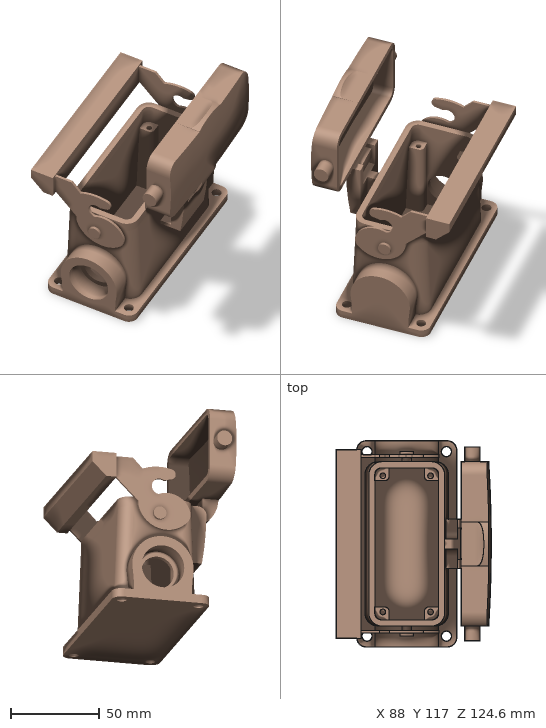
import cadquery as cq

BASE_LENGTH = 117.0
BASE_WIDTH = 56.8
BASE_HEIGHT = 5.0
BASE_CORNER = 5.5
MOUNT_X = 22.5
MOUNT_Y = 52.3
MOUNT_DIAMETER = 5.6

RIM_LENGTH = 93.2
RIM_WIDTH = 43.0
RIM_CORNER = 7.5
WALL = 3.5
FOOT_WIDTH = 47.4
RIM_BOTTOM = 58.5
HOUSING_TOP = 64.2

POST_X = 10.0
POST_Y = 35.8
POST_TOP = 52.0
POST_ROUND = 2.5
SCREW_X = 13.5
SCREW_Y = 38.6
SCREW_DIAMETER = 3.2
SCREW_DEPTH = 10.0

ENTRY_RADIUS = 18.0
ENTRY_FOOT = 34.0
ENTRY_Z = 20.0
ENTRY_BORE = 25.0
ENTRY_HOLE = 19.0

HANDLE_RIGHT = -25.9
LEVER_OUTER_Y = 50.6
LEVER_THICKNESS = 1.5
PLATE_TOP = 86.0
PLATE_TOP_RIGHT = -15.5
PLATE_ROOT = (HANDLE_RIGHT, 74.2)
FINGER_START = (-9.8, 80.0)
FINGER_CREST = (-0.5, 81.9)
FINGER_TOP = (7.5, 80.9)
FINGER_TIP = (9.6, 77.9)
FINGER_UNDERSIDE = (7.5, 75.0)
LATCH_TOP = (2.9, 74.1)
LATCH_SEAT = (-4.4, 70.2)
LATCH_BOTTOM = (-0.5, 65.6)
LOBE_CREST = (5.2, 66.7)
LOBE_SHOULDER = (17.6, 58.0)
LOBE_NOSE = (18.2, 53.5)
LOBE_HEEL = (15.7, 49.3)
LOBE_BOTTOM = (5.4, 44.7)
LOBE_LEFT = (-12.3, 58.5)
ARM_CORNER = (-12.3, 60.6)

PIVOT_Z = 54.0
PIVOT_DIAMETER = 5.2
PIVOT_HEAD = 7.4
PIVOT_END_Y = 52.3
HANDLE_LENGTH = 107.0
HANDLE_LEFT = -40.0
HANDLE_TOP = 87.0
HANDLE_BOTTOM = 72.8
HANDLE_CHAMFER = 8.1

HINGE_WIDTH = 28.0
HINGE_GAP = 17.8
HINGE_FRONT = 28.8
HINGE_BOTTOM = 38.7
HINGE_TOP = 72.7
HINGE_BACK_BOTTOM_X = 34.9
HINGE_BACK_MIDDLE = (36.7, 52.0)
HINGE_BACK_TOP = (37.5, 65.6)
CHEEK_ROUND_MIDDLE = (36.2, 71.0)
CHEEK_ROUND_END_X = 32.5
FLANGE_THICKNESS = 2.5
WEB_WIDTH = 5.8
WEB_FILLET = 4.0

COVER_FRONT = 30.8
COVER_BACK = 47.98
COVER_Z = 100.9
CROWN_RADIUS_Z = 165.0
CROWN_RADIUS_Y = 750.0
CROWN_SWEEP_DEGREES = 20
COVER_PIN_X = 37.2
COVER_PIN_DIAMETER = 8.8
COVER_PIN_SPAN = 110.0
TAB_WIDTH = 24.8
TAB_TOP = 124.56
TAB_RAMP_RISE = 0.25
TAB_SCOOP_START = 40.0
TAB_SCOOP_RADIUS = 4.6
TONGUE_WIDTH = 16.8
TONGUE_INNER_X = 36.9
TONGUE_TOP_X = 46.1
TONGUE_ARC_MIDDLE = (42.8, 69.4)
TONGUE_ARC_END_X = 35.0
BAR_FRONT = 30.6
BAR_TOP = 70.2
BAR_BOTTOM = 63.2

COVER_TOP = COVER_Z + RIM_WIDTH / 2
COVER_BOTTOM = COVER_Z - RIM_WIDTH / 2


def side_profile():
    """Sketch plane in X and Z whose normal is -Y."""
    return cq.Workplane("XZ")


def rounded_prism(width, length, bottom, top, corner):
    """Upright block with rounded vertical edges."""
    block = cq.Workplane("XY").box(width, length, top - bottom, centered=(True, True, False))
    return block.edges("|Z").fillet(corner).translate((0, 0, bottom))


def make_shell(inset):
    """Hood envelope, shrunk by inset on all four sides: X walls lean in up to an upright rim."""
    half_foot = FOOT_WIDTH / 2 - inset
    half_rim = RIM_WIDTH / 2 - inset
    block = (
        side_profile()
        .moveTo(-half_foot, BASE_HEIGHT)
        .lineTo(half_foot, BASE_HEIGHT)
        .lineTo(half_rim, RIM_BOTTOM)
        .lineTo(half_rim, HOUSING_TOP)
        .lineTo(-half_rim, HOUSING_TOP)
        .lineTo(-half_rim, RIM_BOTTOM)
        .close()
        .extrude(RIM_LENGTH / 2 - inset, both=True)
    )
    return block.edges("not(|X or |Y)").fillet(RIM_CORNER - inset)


def make_base():
    """Flat base plate with four mounting holes."""
    plate = rounded_prism(BASE_WIDTH, BASE_LENGTH, 0, BASE_HEIGHT, BASE_CORNER)
    corners = plate.faces(">Z").workplane().rect(2 * MOUNT_X, 2 * MOUNT_Y, forConstruction=True).vertices()
    return corners.hole(MOUNT_DIAMETER)


def make_entry_bosses():
    """Round-topped boss out to both ends of the base, its foot drawn in by arcs tangent to the top."""
    half_foot = ENTRY_FOOT / 2
    drop = ENTRY_Z - BASE_HEIGHT
    foot_radius = (half_foot**2 + drop**2 - ENTRY_RADIUS**2) / (2 * (ENTRY_RADIUS - half_foot))
    share = ENTRY_RADIUS / (ENTRY_RADIUS + foot_radius)
    tangent_x = share * (half_foot + foot_radius)
    tangent_z = ENTRY_Z - share * drop
    return (
        side_profile()
        .moveTo(-half_foot, BASE_HEIGHT)
        .lineTo(half_foot, BASE_HEIGHT)
        .radiusArc((tangent_x, tangent_z), foot_radius)
        .threePointArc((0, ENTRY_Z + ENTRY_RADIUS), (-tangent_x, tangent_z))
        .radiusArc((-half_foot, BASE_HEIGHT), foot_radius)
        .close()
        .extrude(BASE_LENGTH / 2, both=True)
    )


def make_posts():
    """Four corner posts, each with a blind screw hole."""
    posts = cq.Workplane("XY")
    post_width = FOOT_WIDTH / 2 - POST_X
    post_length = RIM_LENGTH / 2 - POST_Y
    post_height = POST_TOP - BASE_HEIGHT
    for x_side in (-1, 1):
        for y_side in (-1, 1):
            post = cq.Workplane("XY").box(post_width, post_length, post_height, centered=(True, True, False))
            inner_x = "<X" if x_side > 0 else ">X"
            inner_y = "<Y" if y_side > 0 else ">Y"
            post = post.edges("|Z").edges(inner_x).edges(inner_y).fillet(POST_ROUND)
            post = post.translate(
                (x_side * (POST_X + post_width / 2), y_side * (POST_Y + post_length / 2), BASE_HEIGHT)
            )
            screw = (
                cq.Workplane("XY", origin=(x_side * SCREW_X, y_side * SCREW_Y, POST_TOP - SCREW_DEPTH))
                .circle(SCREW_DIAMETER / 2)
                .extrude(SCREW_DEPTH)
            )
            posts = posts.add(post.cut(screw))
    return posts.combine()


def make_entry_hole():
    """Stepped cable hole in the -Y end, open to the inside of the hood."""
    bore_depth = (BASE_LENGTH - RIM_LENGTH) / 2
    centre = (0, -BASE_LENGTH / 2, ENTRY_Z)
    bore = cq.Workplane("XZ", origin=centre).circle(ENTRY_BORE / 2).extrude(-bore_depth)
    hole = cq.Workplane("XZ", origin=centre).circle(ENTRY_HOLE / 2).extrude(-bore_depth - WALL)
    return bore.union(hole)


def make_hinge():
    """Two cheeks on a back plate, carried by a flange and a filleted web."""
    back = (
        side_profile()
        .moveTo(HINGE_FRONT, HINGE_BOTTOM)
        .lineTo(HINGE_BACK_BOTTOM_X, HINGE_BOTTOM)
        .threePointArc(HINGE_BACK_MIDDLE, HINGE_BACK_TOP)
        .threePointArc(CHEEK_ROUND_MIDDLE, (CHEEK_ROUND_END_X, HINGE_TOP))
        .lineTo(HINGE_FRONT, HINGE_TOP)
        .close()
        .extrude(HINGE_WIDTH / 2, both=True)
    )
    gap_height = HINGE_TOP - RIM_BOTTOM
    gap = cq.Workplane("XY", origin=(HINGE_FRONT, 0, RIM_BOTTOM)).box(
        RIM_WIDTH, HINGE_GAP, gap_height, centered=(False, True, False)
    )
    flange_top = HINGE_BOTTOM + FLANGE_THICKNESS
    half_web = WEB_WIDTH / 2
    carrier = (
        cq.Workplane("YZ")
        .moveTo(-HINGE_WIDTH / 2, HINGE_BOTTOM)
        .lineTo(HINGE_WIDTH / 2, HINGE_BOTTOM)
        .lineTo(HINGE_WIDTH / 2, flange_top)
        .lineTo(half_web + WEB_FILLET, flange_top)
        .radiusArc((half_web, flange_top + WEB_FILLET), WEB_FILLET)
        .lineTo(half_web, RIM_BOTTOM)
        .lineTo(-half_web, RIM_BOTTOM)
        .lineTo(-half_web, flange_top + WEB_FILLET)
        .radiusArc((-half_web - WEB_FILLET, flange_top), WEB_FILLET)
        .lineTo(-HINGE_WIDTH / 2, flange_top)
        .close()
        .extrude(HINGE_FRONT)
    )
    return back.cut(gap).union(carrier)


def make_lever_plate():
    """Hooked side plate of the lever: handle arm, finger, latch slot and pivot lobe, from Y = 0 up."""
    return (
        side_profile()
        .moveTo(*PLATE_ROOT)
        .lineTo(HANDLE_RIGHT, PLATE_TOP)
        .lineTo(PLATE_TOP_RIGHT, PLATE_TOP)
        .lineTo(*FINGER_START)
        .threePointArc(FINGER_CREST, FINGER_TOP)
        .threePointArc(FINGER_TIP, FINGER_UNDERSIDE)
        .lineTo(*LATCH_TOP)
        .threePointArc(LATCH_SEAT, LATCH_BOTTOM)
        .threePointArc(LOBE_CREST, LOBE_SHOULDER)
        .threePointArc(LOBE_NOSE, LOBE_HEEL)
        .threePointArc(LOBE_BOTTOM, LOBE_LEFT)
        .lineTo(*ARM_CORNER)
        .close()
        .extrude(-LEVER_THICKNESS)
    )


def make_lever():
    """Handle bar joining two side plates."""
    handle = (
        side_profile()
        .moveTo(HANDLE_LEFT, HANDLE_TOP)
        .lineTo(HANDLE_RIGHT, HANDLE_TOP)
        .lineTo(HANDLE_RIGHT, HANDLE_BOTTOM)
        .lineTo(HANDLE_LEFT + HANDLE_CHAMFER, HANDLE_BOTTOM)
        .lineTo(HANDLE_LEFT, HANDLE_BOTTOM + HANDLE_CHAMFER)
        .close()
        .extrude(HANDLE_LENGTH / 2, both=True)
    )
    plate = make_lever_plate()
    front_plate = plate.translate((0, -LEVER_OUTER_Y, 0))
    back_plate = plate.translate((0, LEVER_OUTER_Y - LEVER_THICKNESS, 0))
    return handle.union(front_plate).union(back_plate)


def make_pivots():
    """Headed pin on each end wall, carrying the lever plates."""
    start = RIM_LENGTH / 2 - WALL / 2
    pivots = cq.Workplane("XZ")
    for side in (-1, 1):
        pin = (
            cq.Workplane("XZ", origin=(0, side * start, PIVOT_Z))
            .circle(PIVOT_DIAMETER / 2)
            .extrude(-side * (LEVER_OUTER_Y - start))
        )
        head = (
            cq.Workplane("XZ", origin=(0, side * LEVER_OUTER_Y, PIVOT_Z))
            .circle(PIVOT_HEAD / 2)
            .extrude(-side * (PIVOT_END_Y - LEVER_OUTER_Y))
        )
        pivots = pivots.add(pin.union(head))
    return pivots.combine()


def make_housing():
    """Surface-mount hood with its hinge bracket and lever."""
    outside = make_shell(0)
    inside = make_shell(WALL)
    posts = make_posts().intersect(outside)
    shell = outside.union(make_entry_bosses()).union(make_hinge())
    shell = shell.cut(inside).union(make_base())
    shell = shell.union(posts).cut(make_entry_hole())
    return shell.union(make_pivots()).union(make_lever())


def make_crown(back):
    """Solid of revolution whose barrel-shaped skin bulges to X = back at the cover's centre."""
    half_height = RIM_WIDTH
    drop = CROWN_RADIUS_Z - (CROWN_RADIUS_Z**2 - half_height**2) ** 0.5
    axis_x = back - CROWN_RADIUS_Y
    return (
        side_profile()
        .moveTo(0, COVER_Z - half_height)
        .lineTo(back - drop, COVER_Z - half_height)
        .threePointArc((back, COVER_Z), (back - drop, COVER_Z + half_height))
        .lineTo(0, COVER_Z + half_height)
        .close()
        .revolve(CROWN_SWEEP_DEGREES, (axis_x, 0), (axis_x, 1))
        .rotate((axis_x, 0, 0), (axis_x, 0, 1), -CROWN_SWEEP_DEGREES / 2)
    )


def cover_prism(inset):
    """Rounded rectangle running from the open front to the peak of the crown."""
    return (
        cq.Workplane("YZ", origin=(COVER_FRONT, 0, COVER_Z))
        .rect(RIM_LENGTH - 2 * inset, RIM_WIDTH - 2 * inset)
        .extrude(COVER_BACK - COVER_FRONT)
        .edges("|X")
        .fillet(RIM_CORNER - inset)
    )


def make_tab():
    """Arched finger tab on the cover's top, scooped out in front and led up to by a shallow ramp."""
    ramp_top = COVER_TOP + TAB_RAMP_RISE
    root = COVER_TOP - WALL / 2
    ramp = (
        side_profile()
        .moveTo(COVER_FRONT, COVER_TOP)
        .lineTo(TAB_SCOOP_START, ramp_top)
        .lineTo(COVER_BACK, ramp_top)
        .lineTo(COVER_BACK, root)
        .lineTo(COVER_FRONT, root)
        .close()
        .extrude(TAB_WIDTH / 2, both=True)
    )
    arch = (
        cq.Workplane("YZ", origin=(TAB_SCOOP_START, 0, 0))
        .moveTo(-TAB_WIDTH / 2, ramp_top)
        .threePointArc((0, TAB_TOP), (TAB_WIDTH / 2, ramp_top))
        .close()
        .extrude(COVER_BACK - TAB_SCOOP_START)
    )
    scoop = (
        cq.Workplane("XZ", origin=(TAB_SCOOP_START, 0, ramp_top + TAB_SCOOP_RADIUS))
        .circle(TAB_SCOOP_RADIUS)
        .extrude(TAB_WIDTH, both=True)
    )
    return ramp.union(arch.cut(scoop))


def make_tongue():
    """Arm below the cover that reaches between the hinge cheeks and ends in a bar."""
    return (
        side_profile()
        .moveTo(TONGUE_INNER_X, COVER_BOTTOM + WALL / 2)
        .lineTo(TONGUE_TOP_X, COVER_BOTTOM + WALL / 2)
        .lineTo(TONGUE_TOP_X, COVER_BOTTOM)
        .threePointArc(TONGUE_ARC_MIDDLE, (TONGUE_ARC_END_X, BAR_BOTTOM))
        .lineTo(BAR_FRONT, BAR_BOTTOM)
        .lineTo(BAR_FRONT, BAR_TOP)
        .lineTo(TONGUE_INNER_X, BAR_TOP)
        .close()
        .extrude(TONGUE_WIDTH / 2, both=True)
    )


def make_cover():
    """Hinged protective cover, standing open."""
    pin = (
        cq.Workplane("XZ", origin=(COVER_PIN_X, 0, COVER_Z))
        .circle(COVER_PIN_DIAMETER / 2)
        .extrude(COVER_PIN_SPAN / 2, both=True)
    )
    cavity = cover_prism(WALL).intersect(make_crown(COVER_BACK - WALL))
    outside = cover_prism(0).union(make_tab()).intersect(make_crown(COVER_BACK))
    return outside.union(pin).union(make_tongue()).cut(cavity)


housing = make_housing()
cover = make_cover()
result = cq.Compound.makeCompound([housing.val(), cover.val()])